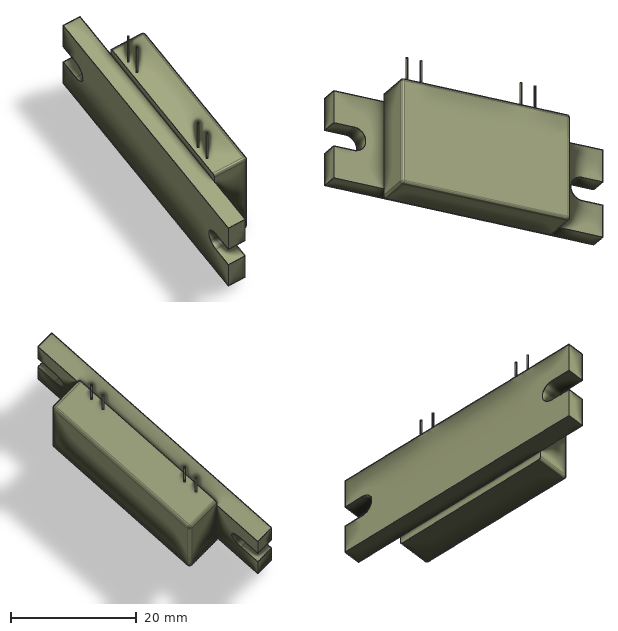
import cadquery as cq

plate_length = 48.0
plate_height = 15.4
plate_thickness = 3.2

slot_width = 4.1
slot_depth = 5.7

body_length = 30.1
body_height = 18.6
body_depth = 6.3
body_edge_radius = 0.5

pin_diameter = 0.3
pin_length = 6.5
pin_pitch = 2.54
pin_pair_spacing = 20.32
pin_offset_from_plate = 0.94

body_top = body_height / 2


def make_plate():
    plate = cq.Workplane("XY").box(
        plate_length, plate_thickness, plate_height, centered=(True, False, True)
    )
    slot_radius = slot_width / 2
    straight_depth = slot_depth - slot_radius
    for side in (-1, 1):
        end_x = side * plate_length / 2
        arc_x = end_x - side * straight_depth
        tip_x = end_x - side * slot_depth
        slot = (
            cq.Workplane("XZ")
            .moveTo(end_x, slot_radius)
            .lineTo(arc_x, slot_radius)
            .threePointArc((tip_x, 0), (arc_x, -slot_radius))
            .lineTo(end_x, -slot_radius)
            .close()
            .extrude(-plate_thickness)
        )
        plate = plate.cut(slot)
    return plate


def make_body():
    body = cq.Workplane("XY").box(
        body_length, body_depth, body_height, centered=(True, False, True)
    )
    body = body.edges("|Y or >Y").fillet(body_edge_radius)
    return body.translate((0, plate_thickness, 0))


def make_pins():
    pin_y = plate_thickness + pin_offset_from_plate
    pin_positions = [
        (pair * pin_pair_spacing / 2 + step * pin_pitch / 2, pin_y)
        for pair in (-1, 1)
        for step in (-1, 1)
    ]
    return (
        cq.Workplane("XY")
        .pushPoints(pin_positions)
        .circle(pin_diameter / 2)
        .extrude(body_top + pin_length)
    )


result = make_plate().union(make_body()).union(make_pins())